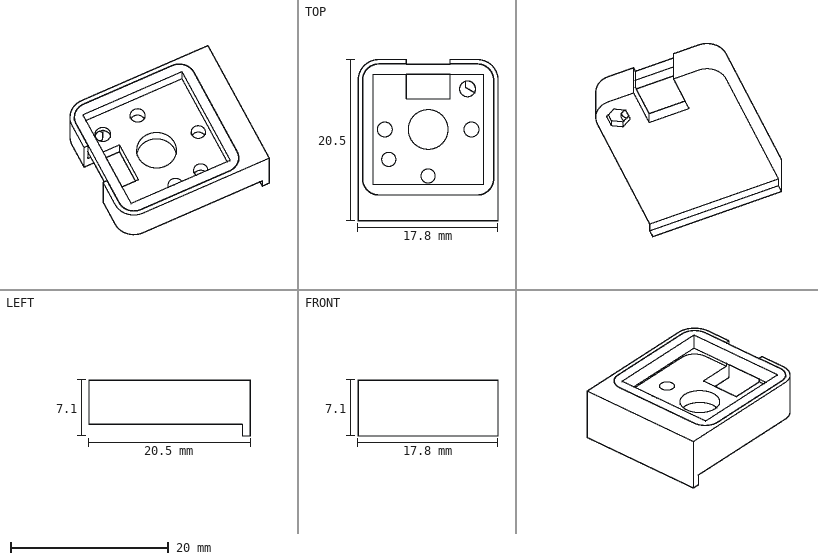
import cadquery as cq

width = 17.8
length = 20.5
body_height = 5.6
outer_radius = 2.65
back_y = width / 2
front_y = back_y - length

lip_thickness = 1.0
lip_drop = 1.5

pocket_size = 16.7
pocket_radius = 2.1
floor_thickness = 2.0
pocket_depth = body_height - floor_thickness

frame_clearance = 0.05
frame_size = pocket_size - 2 * frame_clearance
frame_radius = pocket_radius - frame_clearance
frame_height = 2.0
frame_bottom_z = body_height - frame_height
window_size = 14.0

slot_width = 5.5
slot_length = 5.0

recess_depth = 1.8
corner_hole_depth = 0.9
floor_holes = [
    (0, 0, 5.05, recess_depth),
    (-5.5, 0, 1.9, recess_depth),
    (5.5, 0, 1.9, recess_depth),
    (-5.0, -3.8, 1.8, recess_depth),
    (0, -5.9, 1.8, recess_depth),
    (5.0, 5.15, 2.0, corner_hole_depth),
]

hex_across_corners = 3.0
hex_depth = floor_thickness - corner_hole_depth
hex_x = 6.05
hex_y = 6.1
hex_turn = 30


def rounded_square(size, radius, height, bottom_z):
    block = cq.Workplane("XY").workplane(offset=bottom_z).rect(size, size).extrude(height)
    return block.edges("|Z").fillet(radius)


def make_blank():
    """Outer block with two rounded back corners and the front lip."""
    block = (
        cq.Workplane("XY")
        .center(0, (back_y + front_y) / 2)
        .rect(width, length)
        .extrude(body_height)
        .edges("|Z and >Y")
        .fillet(outer_radius)
    )
    lip = (
        cq.Workplane("XY")
        .center(0, front_y + lip_thickness / 2)
        .rect(width, lip_thickness)
        .extrude(-lip_drop)
    )
    return block.union(lip)


def make_slot():
    return (
        cq.Workplane("XY")
        .center(0, back_y - slot_length / 2)
        .rect(slot_width, slot_length)
        .extrude(body_height)
    )


def make_floor_hole(x, y, diameter, depth):
    floor_plane = cq.Workplane("XY").workplane(offset=floor_thickness)
    return floor_plane.center(x, y).circle(diameter / 2).extrude(-depth)


def make_hex_recess():
    """Hexagon turned so that two of its sides run along Y."""
    return (
        cq.Workplane("XY")
        .center(hex_x, hex_y)
        .transformed(rotate=(0, 0, hex_turn))
        .polygon(6, hex_across_corners)
        .extrude(hex_depth)
    )


def make_housing():
    body = make_blank()
    body = body.cut(rounded_square(pocket_size, pocket_radius, pocket_depth, floor_thickness))
    body = body.cut(make_slot())
    for x, y, diameter, depth in floor_holes:
        body = body.cut(make_floor_hole(x, y, diameter, depth))
    return body.cut(make_hex_recess())


def make_frame():
    ring = rounded_square(frame_size, frame_radius, frame_height, frame_bottom_z)
    window = (
        cq.Workplane("XY")
        .workplane(offset=frame_bottom_z)
        .rect(window_size, window_size)
        .extrude(frame_height)
    )
    return ring.cut(window)


housing = make_housing()
frame = make_frame()

result = cq.Compound.makeCompound([housing.val(), frame.val()])